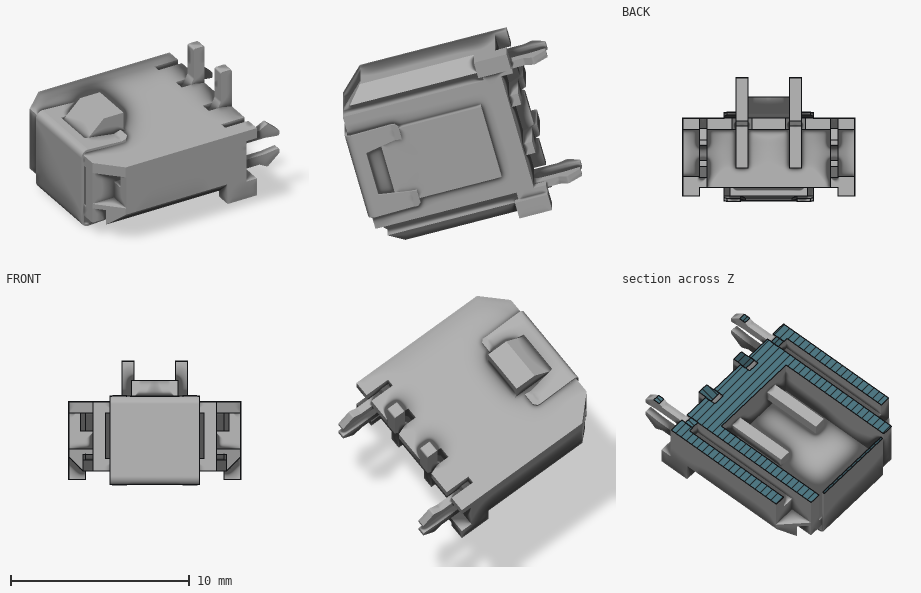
import cadquery as cq
import math


housing_width = 9.65
half_width = housing_width / 2
housing_top = 3.89
housing_rear = 9.88
corner_chamfer = 1.36
deck_underside = 3.24
notch_floor = 0.61
notch_front = 9.2
bevel = 0.81
foot_front = 7.98
foot_inner = 3.86
base_bottom = -0.48
channel_inner = half_width - corner_chamfer
channel_outer = half_width - bevel
channel_top = 0.94
channel_rear = 8.19

pocket_depth = 1.4
pocket_floor = 1.23
window_outer = 4.17
window_floor = 2.25

cavity_half_width = 2.76
cavity_floor = 0.7
cavity_depth = 7.22
rail_front = 1.66
rail_rear = 7.68
rail_half_width = 2.17

latch_half_width = 1.3
latch_top = 5.08
latch_front = 0.77
latch_crest = 2.01
latch_rear = 3.29
latch_fillet = 0.24

clip_x = 3.67
clip_thick = 0.43
clip_front = 8.37
clip_mid_z = (notch_floor + deck_underside) / 2
clip_base_half = (deck_underside - notch_floor) / 2
clip_base_rear = 8.87
arm_root = 9.05
arm_outer = 1.11
arm_inner = 0.53
gap_end = 9.15
barb_outer = 1.4
barb_root = 10.6
barb_peak = 11.12
tip_flare = 10.93
tip_outer = 0.73
tip_inner = 0.41
clip_tip = 11.88
tip_radius = 0.08
clip_corner = 0.12

contact_x = 1.49
contact_width = 0.69
pin_front = 9.3
pin_rear = 10.0
pin_top = 6.15
pin_top_radius = 0.11
gusset_radius = 0.24
shoulder_z = 3.73
leg_rear = 9.73
leg_bottom = 1.08
gusset_top = 4.24
gusset_angle = 64.2
blade_thick = 0.67
blade_tip = 3.61
slot_front = 8.52
slot_flare_front = 9.32
slot_flare_half = 0.55

plate_thick = 0.16
plate_half_width = 2.52
plate_mid_z = 1.72
plate_reach = 2.5
outer_bend_radius = 0.43
inner_bend_radius = 0.17
valley_y = 2.49
valley_drop = 0.15
valley_radius = 0.24
tip_y = 2.93
tip_rise = 0.15
tip_corner = 0.19
cutout_tip_half = 1.59


def block(x0, x1, y0, y1, z0, z1):
    """Box between two opposite corners."""
    return cq.Workplane("XY").box(x1 - x0, y1 - y0, z1 - z0, centered=False).translate((x0, y0, z0))


def side_profile(points, half_thickness):
    """Closed (Y, Z) outline extruded equally to both sides of X = 0."""
    return cq.Workplane("YZ").polyline(points).close().extrude(half_thickness, both=True)


def round_edge(body, y, z, radius):
    """Round the edge along X that is nearest to (y, z) at X = 0."""
    return body.edges(cq.selectors.NearestToPointSelector((0, y, z))).fillet(radius)


def make_latch():
    latch = side_profile(
        [
            (latch_front, housing_top),
            (latch_crest, latch_top),
            (latch_rear, latch_top),
            (latch_rear, housing_top),
        ],
        latch_half_width,
    )
    fillet_end = latch_rear + latch_fillet
    mid_y = fillet_end - latch_fillet * math.sqrt(0.5)
    mid_z = housing_top + latch_fillet * (1 - math.sqrt(0.5))
    root = (
        cq.Workplane("YZ")
        .moveTo(latch_rear, housing_top)
        .lineTo(fillet_end, housing_top)
        .threePointArc((mid_y, mid_z), (latch_rear, housing_top + latch_fillet))
        .close()
        .extrude(latch_half_width, both=True)
    )
    return latch.union(root)


def cut_side_features(housing, side):
    """Cut the bevel, channel, pocket, window and clip slot on one side (-1 or +1)."""

    def side_block(inner, outer, y0, y1, z0, z1):
        x0, x1 = sorted((side * inner, side * outer))
        return block(x0, x1, y0, y1, z0, z1)

    clip_inner = clip_x - clip_thick / 2
    clip_outer = clip_x + clip_thick / 2
    bevel_wedge = (
        cq.Workplane("XZ")
        .polyline([(side * half_width, 0), (side * half_width, bevel), (side * channel_outer, 0)])
        .close()
        .extrude(-foot_front)
    )
    cuts = [
        bevel_wedge,
        side_block(channel_inner, channel_outer, 0, channel_rear, 0, channel_top),
        side_block(channel_inner, channel_outer, channel_rear, clip_front, notch_floor, channel_top),
        side_block(channel_inner, half_width, 0, pocket_depth, pocket_floor, deck_underside),
        side_block(channel_inner, window_outer, 0, clip_front, window_floor, deck_underside),
        side_block(clip_inner, clip_outer, clip_front, housing_rear, notch_floor, housing_top),
    ]
    for cut in cuts:
        housing = housing.cut(cut)
    return housing


def contact_slot():
    """Slot for one contact through the rear of the deck, flaring outwards at the rear."""
    half = contact_width / 2
    slot_floor = clip_mid_z - blade_thick / 2
    return (
        cq.Workplane("XY", origin=(0, 0, slot_floor))
        .polyline(
            [
                (-half, slot_front),
                (half, slot_front),
                (half, slot_flare_front),
                (slot_flare_half, housing_rear),
                (-slot_flare_half, housing_rear),
                (-half, slot_flare_front),
            ]
        )
        .close()
        .extrude(housing_top - slot_floor)
    )


def make_housing(contacts):
    body = block(-half_width, half_width, 0, housing_rear, 0, housing_top)
    body = body.edges("|Z and <Y").chamfer(corner_chamfer)
    for x0, x1 in ((-half_width, -foot_inner), (foot_inner, half_width)):
        body = body.union(block(x0, x1, foot_front, housing_rear, base_bottom, 0))
    body = body.union(block(-rail_half_width, rail_half_width, rail_front, rail_rear, base_bottom, 0))
    body = body.cut(block(-half_width, half_width, notch_front, housing_rear, notch_floor, deck_underside))

    body = body.cut(block(-channel_inner, channel_inner, notch_front, housing_rear, 0, notch_floor))

    body = body.cut(
        block(-cavity_half_width, cavity_half_width, 0, cavity_depth, cavity_floor, deck_underside)
    )
    for side in (-1, 1):
        body = cut_side_features(body, side)
        body = body.cut(contact_slot().translate((side * contact_x, 0, 0)))
    for contact in contacts:
        body = body.cut(contact)
    return body.union(make_latch())


def make_clip(x):
    """Fork with two barbed arms behind a taller base block."""
    upper = [
        (clip_front, clip_base_half),
        (clip_base_rear, clip_base_half),
        (arm_root, arm_outer),
        (barb_root, arm_outer),
        (barb_peak, barb_outer),
        (clip_tip, tip_outer),
        (clip_tip, tip_inner),
        (tip_flare, arm_inner),
    ]
    gap_round_y = gap_end + arm_inner
    outline = cq.Workplane("YZ", origin=(0, 0, clip_mid_z)).polyline(upper)
    outline = outline.lineTo(gap_round_y, arm_inner)
    outline = outline.threePointArc((gap_end, 0), (gap_round_y, -arm_inner))
    for y, z in reversed(upper):
        outline = outline.lineTo(y, -z)
    clip = outline.close().extrude(clip_thick / 2, both=True)
    for side in (-1, 1):
        clip = round_edge(clip, clip_front, clip_mid_z + side * clip_base_half, clip_corner)
        clip = round_edge(clip, arm_root, clip_mid_z + side * arm_outer, clip_corner)
        clip = round_edge(clip, barb_root, clip_mid_z + side * arm_outer, clip_corner)
        clip = round_edge(clip, clip_tip, clip_mid_z + side * tip_inner, tip_radius)
        clip = round_edge(clip, barb_peak, clip_mid_z + side * barb_outer, clip_corner)
    return clip.translate((x, 0, 0))


def make_contact(x):
    """Upright pin with a sloped gusset, a leg down the rear and a blade into the cavity."""
    blade_top = clip_mid_z + blade_thick / 2
    blade_bottom = clip_mid_z - blade_thick / 2
    gusset_end = pin_front - (gusset_top - blade_top) / math.tan(math.radians(gusset_angle))
    contact = side_profile(
        [
            (leg_rear, leg_bottom),
            (leg_rear, shoulder_z - (pin_rear - leg_rear)),
            (pin_rear, shoulder_z),
            (pin_rear, pin_top),
            (pin_front, pin_top),
            (pin_front, gusset_top),
            (gusset_end, blade_top),
            (blade_tip, blade_top),
            (blade_tip, blade_bottom),
            (notch_front, blade_bottom),
            (notch_front, leg_bottom),
        ],
        contact_width / 2,
    )
    for y in (pin_front, pin_rear):
        contact = round_edge(contact, y, pin_top, pin_top_radius)
    contact = round_edge(contact, pin_front, gusset_top, gusset_radius)
    return contact.translate((x, 0, 0))


def make_pickup_plate():
    """Sheet-metal clip: a flat front with one sprung arm above and one below."""
    valley_z = plate_reach - valley_drop
    tip_angle = math.atan2(tip_rise, tip_y - valley_y)
    inner_valley_y = valley_y + plate_thick * math.tan(tip_angle / 2)
    tip_z = valley_z + tip_rise
    inner_valley_radius = valley_radius + plate_thick
    upper = [
        (-plate_thick, plate_reach),
        (valley_y, valley_z),
        (tip_y, tip_z),
        (tip_y, tip_z - plate_thick / math.cos(tip_angle)),
        (inner_valley_y, valley_z - plate_thick),
        (0, plate_reach - plate_thick),
    ]
    lower = [(y, -z) for y, z in reversed(upper)]
    plate = side_profile(upper + lower, plate_half_width)
    for side in (-1, 1):
        plate = round_edge(plate, -plate_thick, side * plate_reach, outer_bend_radius)
        plate = round_edge(plate, 0, side * (plate_reach - plate_thick), inner_bend_radius)
        plate = round_edge(plate, valley_y, side * valley_z, valley_radius)
        plate = round_edge(plate, inner_valley_y, side * (valley_z - plate_thick), inner_valley_radius)

    right_half = [
        (plate_half_width, -plate_thick),
        (plate_half_width, tip_y - tip_corner),
        (plate_half_width - tip_corner, tip_y),
        (cutout_tip_half, tip_y),
        (cutout_tip_half, valley_y),
        (latch_half_width, latch_front),
    ]
    left_half = [(-x, y) for x, y in reversed(right_half)]
    blank = (
        cq.Workplane("XY")
        .polyline(right_half + left_half)
        .close()
        .extrude(plate_reach, both=True)
    )
    return plate.intersect(blank).translate((0, 0, plate_mid_z))


contacts = [make_contact(side * contact_x) for side in (-1, 1)]
clips = [make_clip(side * clip_x) for side in (-1, 1)]
housing = make_housing(contacts)
pickup_plate = make_pickup_plate()

bodies = [housing, *contacts, *clips, pickup_plate]
result = cq.Compound.makeCompound([body.solids().val() for body in bodies])